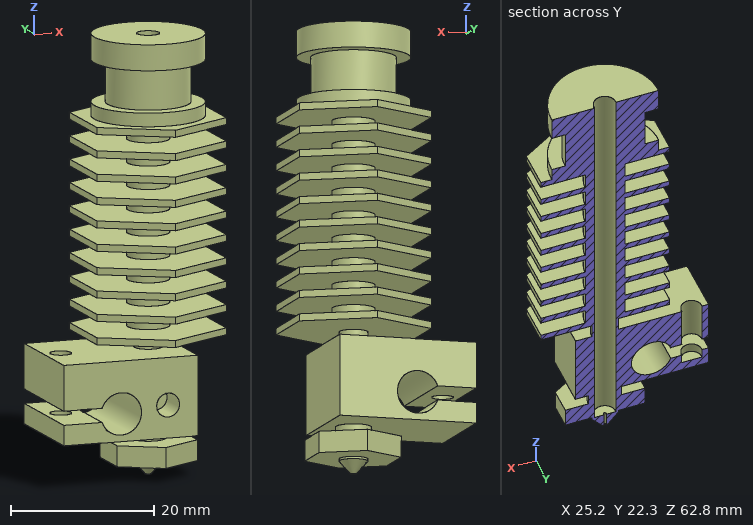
import cadquery as cq
import math

total_height = 62.8

collar_diameter = 16.0
groove_diameter = 12.0
top_flange_thickness = 3.7
groove_height = 6.0
lower_flange_thickness = 1.95

fin_count = 10
fin_width_across_corners = 22.3
fin_thickness = 1.0
fin_pitch = 3.3
fin_offset_y = 0.1
core_diameter = 6.0

neck_diameter = 4.0
neck_height = 2.0

block_length = 20.0
block_width = 16.0
block_height = 11.5
block_overhang = 15.5
heater_bore_diameter = 6.0
heater_bore_x = -7.0
heater_bore_height = 3.95
slot_height = 2.0
clamp_hole_diameter = 3.0
clamp_hole_inset = 2.5
clamp_hole_depth = 10.0
sensor_hole_diameter = 3.4
sensor_hole_height = 4.7
sensor_hole_depth = 5.0

nozzle_shank_diameter = 5.0
nozzle_shank_height = 1.5
nut_width_across_flats = 12.0
nut_thickness = 3.0
nut_offset_y = -0.25
tip_base_diameter = 4.0
tip_base_height = 0.3
tip_end_diameter = 0.8

channel_diameter = 3.2
orifice_diameter = 0.4

groove_top = total_height - top_flange_thickness
groove_bottom = groove_top - groove_height
collar_bottom = groove_bottom - lower_flange_thickness
heat_sink_bottom = collar_bottom - (fin_count - 1) * fin_pitch - fin_thickness
block_top = heat_sink_bottom - neck_height
block_bottom = block_top - block_height
nut_top = block_bottom - nozzle_shank_height
nut_bottom = nut_top - nut_thickness
cone_top = nut_bottom - tip_base_height


def cylinder(diameter, bottom, top):
    """Solid cylinder on the filament axis."""
    return cq.Workplane("XY").workplane(offset=bottom).circle(diameter / 2).extrude(top - bottom)


def hex_plate(across_corners, thickness, bottom, offset_y):
    """Hexagonal plate with two corners on the Y direction."""
    return (
        cq.Workplane("XY")
        .polygon(6, across_corners)
        .extrude(thickness)
        .rotate((0, 0, 0), (0, 0, 1), 90)
        .translate((0, offset_y, bottom))
    )


def make_collar():
    return (
        cylinder(collar_diameter, groove_top, total_height)
        .union(cylinder(groove_diameter, groove_bottom, groove_top))
        .union(cylinder(collar_diameter, collar_bottom, groove_bottom))
    )


def make_heat_sink():
    heat_sink = cylinder(core_diameter, heat_sink_bottom, collar_bottom)
    for index in range(fin_count):
        fin_bottom = heat_sink_bottom + index * fin_pitch
        heat_sink = heat_sink.union(
            hex_plate(fin_width_across_corners, fin_thickness, fin_bottom, fin_offset_y)
        )
    return heat_sink


def make_heater_block():
    block_left = -block_overhang
    block_front = -block_width / 2
    bore_z = block_bottom + heater_bore_height
    block = cq.Workplane("XY").box(block_length, block_width, block_height, centered=False)
    block = block.translate((block_left, block_front, block_bottom))

    bore = cq.Workplane("XZ").center(heater_bore_x, bore_z).circle(heater_bore_diameter / 2)
    slot_length = heater_bore_x - block_left
    slot = cq.Workplane("XY").box(slot_length, block_width, slot_height)
    slot = slot.translate((block_left + slot_length / 2, 0, bore_z))
    block = block.cut(bore.extrude(block_width / 2, both=True)).cut(slot)

    clamp_hole = cylinder(clamp_hole_diameter, block_top - clamp_hole_depth, block_top)
    block = block.cut(clamp_hole.translate((block_left + clamp_hole_inset, 0, 0)))

    sensor_hole = (
        cq.Workplane("XZ", origin=(0, block_front, block_bottom + sensor_hole_height))
        .circle(sensor_hole_diameter / 2)
        .extrude(-sensor_hole_depth)
    )
    return block.cut(sensor_hole)


def make_nozzle():
    shank = cylinder(nozzle_shank_diameter, nut_top, block_bottom)
    nut_across_corners = nut_width_across_flats / math.cos(math.pi / 6)
    nut = hex_plate(nut_across_corners, nut_thickness, nut_bottom, nut_offset_y)
    tip = (
        cq.Workplane("XZ")
        .polyline(
            [
                (0, 0),
                (tip_end_diameter / 2, 0),
                (tip_base_diameter / 2, cone_top),
                (tip_base_diameter / 2, nut_bottom),
                (0, nut_bottom),
            ]
        )
        .close()
        .revolve(360, (0, 0), (0, 1))
    )
    return shank.union(nut).union(tip)


neck = cylinder(neck_diameter, block_top, heat_sink_bottom)
body = make_collar().union(make_heat_sink()).union(neck)
body = body.union(make_heater_block()).union(make_nozzle())

channel = cylinder(channel_diameter, nut_bottom, total_height)
orifice = cylinder(orifice_diameter, 0, nut_bottom)
result = body.cut(channel).cut(orifice)